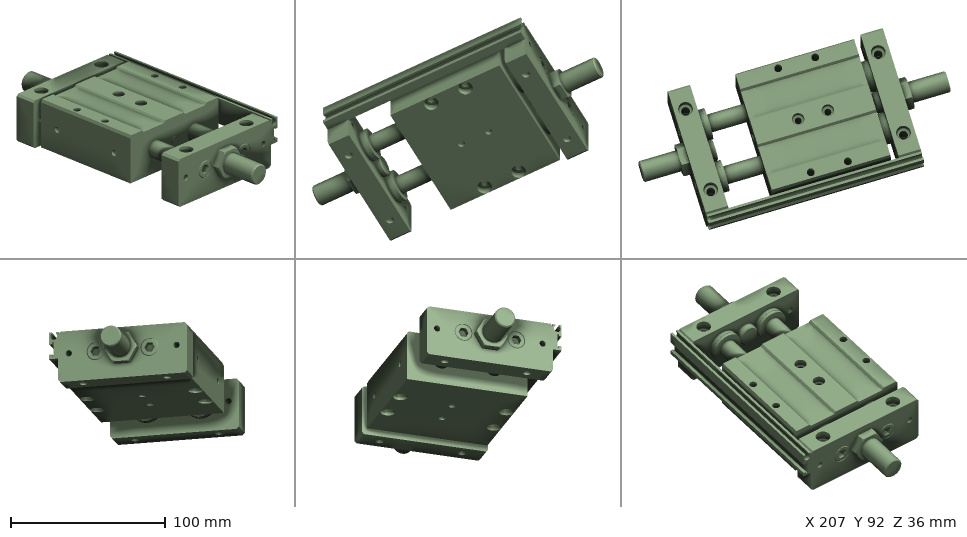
import cadquery as cq


plate_inner_x = 57.5
plate_thickness = 15.0
plate_outer_x = plate_inner_x + plate_thickness
plate_half_width = 43.0
plate_top_z = 15.0
plate_bottom_z = -19.0
plate_height = plate_top_z - plate_bottom_z
plate_chamfer = 1.5

plate_hole_x = plate_inner_x + plate_thickness / 2
plate_hole_y = 28.0
plate_hole_diameter = 5.7
plate_tap_diameter = 5.1
plate_tap_depth = 12.0
plate_bore_diameter = 9.5
plate_bore_depth = 6.0
side_hole_y = 36.0
side_hole_diameter = 4.2

rod_diameter = 12.0
rod_y = 18.0
rod_end_chamfer = 0.6
rod_socket_across_flats = 6.0
rod_socket_depth = 4.0
bumper_diameter = 21.0
bumper_length = 5.0
bumper_groove_diameter = 20.4
bumper_groove_width = 0.5
bumper_rim_count = 2

rail_depth = 6.0
rail_outer_y = plate_half_width + rail_depth
rail_center_y = plate_half_width + rail_depth / 2
rail_bottom_z = -3.0
rail_top_z = plate_top_z
rail_groove_diameter = 4.5
rail_groove_z = 12.1
rail_groove_opening = 2.8
rail_slot_bottom_z = 0.0
rail_slot_top_z = 7.0
rail_slot_depth = 3.0
rail_slot_lip = 2.0
rail_slot_undercut = 1.25

housing_left_x = -(plate_inner_x - bumper_length)
housing_length = 80.0
housing_center_x = housing_left_x + housing_length / 2
housing_half_width = 41.0
housing_top_z = 17.0
housing_bottom_z = -17.0
housing_edge_width = 1.0
housing_edge_height = 2.0

pad_height = 1.5
pad_slope = 1.5
center_pad_half_top = 8.5
side_pad_inner_y = 30.0

center_hole_spacing = 20.0
center_hole_diameter = 4.5
center_bore_diameter = 8.0
center_bore_depth = 4.4
flange_hole_spacing = 25.0
flange_hole_y = 36.15
flange_hole_diameter = 5.1
flange_bore_diameter = 9.5
flange_bore_depth = 5.75
port_spacing = 51.0
port_diameter = 4.2
port_depth = 4.0
port_bore_diameter = 2.0
port_bore_depth = 8.0

stop_pin_diameter = 6.0
stop_pin_protrusion = 0.8

bolt_diameter = 14.0
bolt_length = 50.0
bolt_protrusion = 4.0
bolt_inner_x = plate_inner_x - bolt_protrusion
bolt_chamfer = 0.8
nut_across_flats = 19.0
nut_thickness = 5.5
nut_corner_chamfer_length = 0.5
nut_corner_chamfer_depth = 1.0

HEX_CORNER_RATIO = 2 / 3**0.5


def x_cylinder(diameter, start_x, end_x, y=0.0):
    """Cylinder along X at z = 0."""
    return cq.Workplane("YZ", origin=(start_x, y, 0)).circle(diameter / 2).extrude(end_x - start_x)


def x_hexagon(across_flats, start_x, end_x, y=0.0):
    """Hexagonal prism along X with its corners pointing along Y."""
    corner_diameter = across_flats * HEX_CORNER_RATIO
    return cq.Workplane("YZ", origin=(start_x, y, 0)).polygon(6, corner_diameter).extrude(end_x - start_x)


def z_cylinder(diameter, start_z, end_z, x, y):
    """Cylinder along Z."""
    return cq.Workplane("XY", origin=(x, y, start_z)).circle(diameter / 2).extrude(end_z - start_z)


def make_housing():
    """Sliding block with its pads, rod bores, mounting holes, ports and stop pins."""
    right_x = housing_left_x + housing_length
    valley_z = housing_top_z - pad_height
    plus_y_half = [
        (housing_half_width, housing_bottom_z),
        (housing_half_width, housing_top_z - housing_edge_height),
        (housing_half_width - housing_edge_width, housing_top_z),
        (side_pad_inner_y, housing_top_z),
        (side_pad_inner_y - pad_slope, valley_z),
        (center_pad_half_top + pad_slope, valley_z),
        (center_pad_half_top, housing_top_z),
    ]
    minus_y_half = [(-y, z) for y, z in reversed(plus_y_half)]
    housing = (
        cq.Workplane("YZ", origin=(housing_left_x, 0, 0))
        .polyline(plus_y_half + minus_y_half)
        .close()
        .extrude(housing_length)
    )
    housing = housing.union(
        x_cylinder(stop_pin_diameter, housing_left_x - stop_pin_protrusion, right_x + stop_pin_protrusion)
    )

    for y in (-rod_y, rod_y):
        housing = housing.cut(x_cylinder(rod_diameter, housing_left_x, right_x, y))

    for side in (-1, 1):
        center_x = housing_center_x + side * center_hole_spacing / 2
        bore_floor_z = housing_top_z - center_bore_depth
        housing = housing.cut(
            z_cylinder(center_hole_diameter, housing_bottom_z, housing_top_z, center_x, 0)
        )
        housing = housing.cut(z_cylinder(center_bore_diameter, bore_floor_z, housing_top_z, center_x, 0))

        flange_x = housing_center_x + side * flange_hole_spacing / 2
        bore_roof_z = housing_bottom_z + flange_bore_depth
        for y in (-flange_hole_y, flange_hole_y):
            housing = housing.cut(
                z_cylinder(flange_hole_diameter, housing_bottom_z, housing_top_z, flange_x, y)
            )
            housing = housing.cut(
                z_cylinder(flange_bore_diameter, housing_bottom_z, bore_roof_z, flange_x, y)
            )

        port_x = housing_center_x + side * port_spacing / 2
        port_face = cq.Workplane("XZ", origin=(port_x, -housing_half_width, 0))
        housing = housing.cut(port_face.circle(port_diameter / 2).extrude(-port_depth))
        housing = housing.cut(port_face.circle(port_bore_diameter / 2).extrude(-port_bore_depth))
    return housing


def make_right_plate():
    """End plate on the +X side with bumpers, before the rods are added."""
    plate = (
        cq.Workplane("XY")
        .box(plate_thickness, 2 * plate_half_width, plate_height, centered=(False, True, False))
        .edges("|X")
        .chamfer(plate_chamfer)
        .translate((plate_inner_x, 0, plate_bottom_z))
    )
    for y in (-plate_hole_y, plate_hole_y):
        tap_top_z = plate_bottom_z + plate_tap_depth
        plate = plate.cut(z_cylinder(plate_tap_diameter, plate_bottom_z, tap_top_z, plate_hole_x, y))
        plate = plate.cut(z_cylinder(plate_hole_diameter, tap_top_z, plate_top_z, plate_hole_x, y))
        plate = plate.cut(
            z_cylinder(plate_bore_diameter, plate_top_z - plate_bore_depth, plate_top_z, plate_hole_x, y)
        )
    for y in (-side_hole_y, side_hole_y):
        plate = plate.cut(x_cylinder(side_hole_diameter, plate_inner_x, plate_outer_x, y))
    plate = plate.cut(x_cylinder(bolt_diameter, plate_inner_x, plate_outer_x))

    for y in (-rod_y, rod_y):
        plate = plate.union(make_bumper(y))
        plate = plate.cut(x_cylinder(rod_diameter, plate_inner_x - bumper_length, plate_outer_x, y))
    return plate


def make_bumper(y):
    """Disc stack on the inner face of the right plate: rims, each with a groove behind it."""
    bumper = x_cylinder(bumper_groove_diameter, plate_inner_x - bumper_length, plate_inner_x, y)
    pitch = bumper_length / bumper_rim_count
    for index in range(bumper_rim_count):
        rim_start_x = plate_inner_x - bumper_length + index * pitch
        rim_end_x = rim_start_x + pitch - bumper_groove_width
        bumper = bumper.union(x_cylinder(bumper_diameter, rim_start_x, rim_end_x, y))
    return bumper


def make_rod(y):
    """Rod flush with both plates, chamfered and with a hexagonal socket at each end."""
    rod = x_cylinder(rod_diameter, -plate_outer_x, plate_outer_x, y)
    rod = rod.faces("<X or >X").chamfer(rod_end_chamfer)
    for side in (-1, 1):
        end_x = side * plate_outer_x
        rod = rod.cut(x_hexagon(rod_socket_across_flats, end_x - side * rod_socket_depth, end_x, y))
    return rod


def make_rail():
    """Switch rail with a round groove in its top and a T-slot in its outer side."""
    length = 2 * plate_outer_x

    def rail_block(inner_y, outer_y, low_z, high_z):
        return cq.Workplane("XY").box(length, outer_y - inner_y, high_z - low_z).translate(
            (0, (inner_y + outer_y) / 2, (low_z + high_z) / 2)
        )

    half_opening = rail_groove_opening / 2
    slot_floor_y = rail_outer_y - rail_slot_depth
    return (
        rail_block(plate_half_width, rail_outer_y, rail_bottom_z, rail_top_z)
        .cut(
            cq.Workplane("YZ", origin=(-plate_outer_x, rail_center_y, rail_groove_z))
            .circle(rail_groove_diameter / 2)
            .extrude(length)
        )
        .cut(
            rail_block(
                rail_center_y - half_opening,
                rail_center_y + half_opening,
                rail_groove_z,
                rail_top_z,
            )
        )
        .cut(rail_block(slot_floor_y, rail_outer_y, rail_slot_bottom_z, rail_slot_top_z))
        .cut(
            rail_block(
                slot_floor_y,
                rail_outer_y - rail_slot_lip,
                rail_slot_bottom_z - rail_slot_undercut,
                rail_slot_top_z + rail_slot_undercut,
            )
        )
    )


def make_frame():
    """Both end plates, the two rods and the switch rail as one solid."""
    right_plate = make_right_plate()
    frame = make_rail().union(right_plate).union(right_plate.mirror("YZ"))
    for y in (-rod_y, rod_y):
        frame = frame.union(make_rod(y))
    return frame


def make_adjuster(side):
    """Stroke adjuster on the -X (side = -1) or +X (side = 1) plate."""
    bolt = x_cylinder(bolt_diameter, bolt_inner_x, bolt_inner_x + bolt_length)
    bolt = bolt.faces("<X or >X").chamfer(bolt_chamfer)
    nut_outer_x = plate_outer_x + nut_thickness
    nut = x_hexagon(nut_across_flats, plate_outer_x, nut_outer_x)
    corner_diameter = nut_across_flats * HEX_CORNER_RATIO
    nut_envelope = x_cylinder(corner_diameter, plate_outer_x, nut_outer_x)
    nut_envelope = nut_envelope.faces(">X").chamfer(nut_corner_chamfer_length, nut_corner_chamfer_depth)
    adjuster = bolt.union(nut.intersect(nut_envelope))
    return adjuster if side > 0 else adjuster.mirror("YZ")


housing = make_housing()
frame = make_frame()
adjusters = [make_adjuster(side) for side in (-1, 1)]

result = cq.Compound.makeCompound([housing.val(), frame.val(), *[a.val() for a in adjusters]])